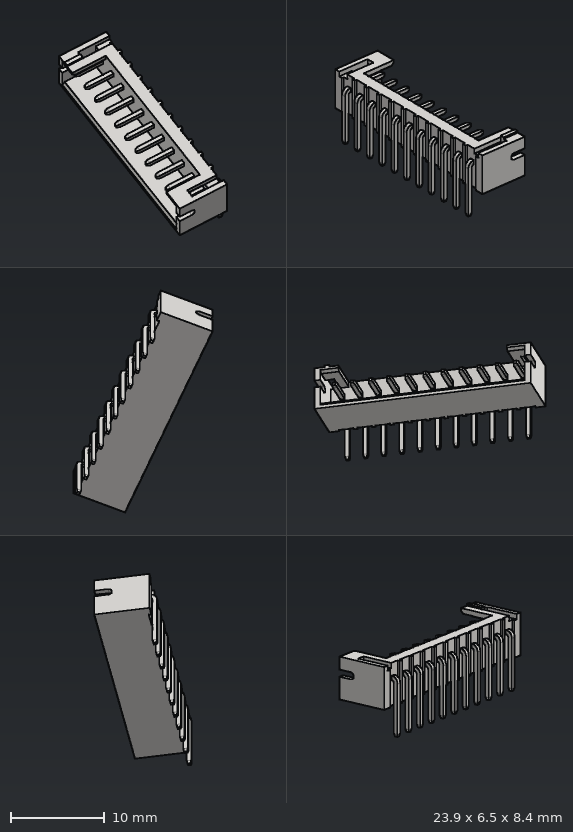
import cadquery as cq


length = 23.9
depth = 6.0
height = 4.8
side_wall = 0.67
floor_thickness = 0.7
roof_thickness = 0.6
cavity_depth = 4.23
mouth_bevel = 0.3

roof_lip_width = 2.65
side_slot_depth = 1.91
side_slot_width = 0.8
roof_slot_end = 1.63
roof_slot_start_y = 2.0

ridge_start = 1.12
ridge_height = 0.2

back_recess = 0.29
back_post_width = 1.1
rib_width = 0.4

pin_count = 11
pin_row_span = 20.0
pin_size = 0.5
pin_tip_size = 0.3
pin_tip_length = 0.35
pin_front_y = 0.81
pin_drop = 3.4
pin_top_z = 3.35
bend_radius = 0.75

half_length = length / 2
cavity_half_length = half_length - side_wall
cavity_top = height - roof_thickness
pin_back_y = depth + pin_size
pitch = pin_row_span / (pin_count - 1)
first_pin_x = -pin_row_span / 2


def box(x_range, y_range, z_range):
    """Axis-aligned block between the given pairs of limits."""
    spans = [high - low for low, high in (x_range, y_range, z_range)]
    corner = (x_range[0], y_range[0], z_range[0])
    return cq.Workplane("XY").box(*spans, centered=False).translate(corner)


def plug_cavity():
    """Cavity with 45-degree bevels on the floor and roof edges of the mouth."""
    return (
        cq.Workplane("YZ", origin=(-cavity_half_length, 0, 0))
        .moveTo(0, floor_thickness - mouth_bevel)
        .lineTo(mouth_bevel, floor_thickness)
        .lineTo(cavity_depth, floor_thickness)
        .lineTo(cavity_depth, cavity_top)
        .lineTo(mouth_bevel, cavity_top)
        .lineTo(0, cavity_top + mouth_bevel)
        .close()
        .extrude(2 * cavity_half_length)
    )


def roof_opening():
    """Large opening that leaves a lip of roof at each end."""
    half_width = half_length - roof_lip_width
    return box((-half_width, half_width), (0, cavity_depth), (cavity_top, height))


def side_slots():
    """Round-ended slot from the mouth through both side walls."""
    radius = side_slot_width / 2
    center_z = pin_top_z - radius
    arc_start_y = side_slot_depth - radius
    return (
        cq.Workplane("YZ", origin=(-half_length, 0, 0))
        .moveTo(0, center_z - radius)
        .lineTo(arc_start_y, center_z - radius)
        .threePointArc((side_slot_depth, center_z), (arc_start_y, center_z + radius))
        .lineTo(0, center_z + radius)
        .close()
        .extrude(length)
    )


def roof_slot():
    """Slot through the left roof lip, running out of the back."""
    x_range = (-cavity_half_length, roof_slot_end - half_length)
    return box(x_range, (roof_slot_start_y, depth), (cavity_top, height))


def back_recess_cut():
    """Shallow full-height recess in the back, interrupted by a rib between each pair of pins."""
    half_width = half_length - back_post_width
    y_range = (depth - back_recess, depth)
    recess = box((-half_width, half_width), y_range, (0, height))
    for index in range(pin_count - 1):
        rib_x = first_pin_x + (index + 0.5) * pitch
        rib = box((rib_x - rib_width / 2, rib_x + rib_width / 2), y_range, (0, height))
        recess = recess.cut(rib)
    return recess


def polarity_ridge():
    """Raised strip on the left end of the roof, in front of the roof slot."""
    x_range = (ridge_start - half_length, roof_slot_end - half_length)
    return box(x_range, (0, roof_slot_start_y), (height, height + ridge_height))


def pin_tip(plane):
    """Tapered pin end growing along the normal of the plane."""
    return (
        cq.Workplane(plane)
        .rect(pin_size, pin_size)
        .workplane(offset=pin_tip_length)
        .rect(pin_tip_size, pin_tip_size)
        .loft(ruled=True)
    )


def bent_pin():
    """Square pin at X = 0: contact leg along Y, bend, and solder leg down Z."""
    center_z = pin_top_z - pin_size / 2
    center_y = pin_back_y - pin_size / 2
    path_radius = bend_radius - pin_size / 2
    start_y = pin_front_y + pin_tip_length
    end_z = pin_tip_length - pin_drop
    path = (
        cq.Workplane("YZ")
        .moveTo(start_y, center_z)
        .lineTo(center_y - path_radius, center_z)
        .tangentArcPoint((center_y, center_z - path_radius), relative=False)
        .lineTo(center_y, end_z)
    )
    contact_end = cq.Plane(origin=(0, start_y, center_z), xDir=(1, 0, 0), normal=(0, -1, 0))
    solder_end = cq.Plane(origin=(0, center_y, end_z), xDir=(1, 0, 0), normal=(0, 0, -1))
    bar = cq.Workplane(contact_end).rect(pin_size, pin_size).sweep(path)
    return bar.union(pin_tip(contact_end)).union(pin_tip(solder_end))


housing = box((-half_length, half_length), (0, depth), (0, height))
housing = housing.cut(plug_cavity()).cut(roof_opening()).cut(side_slots())
housing = housing.cut(roof_slot()).cut(roof_slot().mirror("YZ"))
housing = housing.cut(back_recess_cut()).union(polarity_ridge())

result = housing
pin = bent_pin()
for index in range(pin_count):
    result = result.union(pin.translate((first_pin_x + index * pitch, 0, 0)))